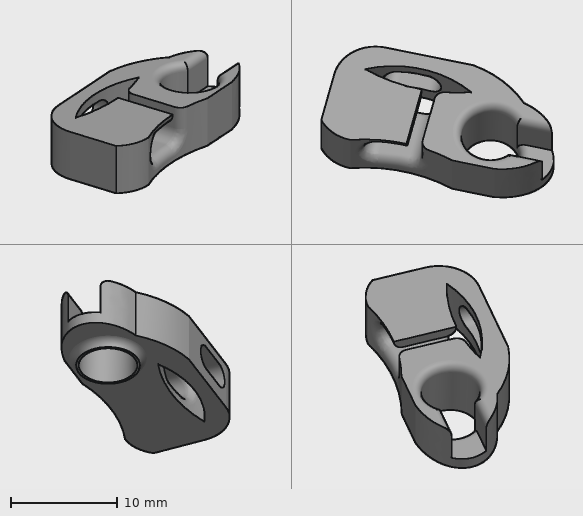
import cadquery as cq
import math


left_x = -6.86
right_x = 3.9
bottom_y = -15.79
ring_tip_y = 6.0
body_height = 5.0

corner_radius = 4.0
right_corner_center_y = -12.65
shoulder_start = (left_x, -3.3)
shoulder_middle = (-5.8, -0.25)
shoulder_end = (-3.83, 2.35)
ring_center_x = -0.1
ring_half_width = 4.1

waist_half_width = 3.1
waist_radius = 15.5
waist_y = -7.69

arm_inner_x = -5.32
arm_inner_radius = 10.55
arm_inner_y = -8.1

hole_diameter = 5.5
entry_half_width = 1.69
entry_floor_z = 1.22
edge_round = 0.8

collar_height = 0.83
collar_tip_radius = 3.0
collar_root_radius = 3.65
collar_bend_radius = 3.16
collar_bend_depth = 0.32

slot_length = 5.5
slot_height = 2.5
slot_center_y = -8.74
slot_center_z = 2.75
slot_end_y = slot_center_y + slot_length / 2
notch_width = 1.4
slot_mouth_round = 0.95

overrun = 1.0


def upright_cylinder(x, y, radius):
    return cq.Workplane("XY").center(x, y).circle(radius).extrude(body_height)


def make_body():
    corner_center_x = right_x - corner_radius
    drop = right_corner_center_y - bottom_y
    corner_end_angle = math.asin(drop / corner_radius)
    corner_end_x = corner_center_x + corner_radius * math.cos(corner_end_angle)
    corner_middle = (
        corner_center_x + corner_radius * math.cos(corner_end_angle / 2),
        right_corner_center_y - corner_radius * math.sin(corner_end_angle / 2),
    )
    ring_reach = (right_x - ring_center_x) / ring_half_width
    ring_side_y = ring_tip_y * math.sqrt(1 - ring_reach ** 2)

    plate = (
        cq.Workplane("XY")
        .moveTo(right_x, ring_side_y)
        .lineTo(right_x, right_corner_center_y)
        .threePointArc(corner_middle, (corner_end_x, bottom_y))
        .lineTo(left_x + corner_radius, bottom_y)
        .radiusArc((left_x, bottom_y + corner_radius), corner_radius)
        .lineTo(*shoulder_start)
        .threePointArc(shoulder_middle, shoulder_end)
        .close()
        .extrude(body_height)
    )
    ring = (
        cq.Workplane("XY")
        .center(ring_center_x, 0)
        .ellipse(ring_half_width, ring_tip_y)
        .extrude(body_height)
    )
    ring_limit = cq.Workplane("XY").box(
        2 * right_x, 2 * ring_tip_y, body_height, centered=(True, True, False)
    )
    return plate.union(ring.intersect(ring_limit))


def cut_waist(body):
    waist_center_x = waist_half_width + waist_radius
    right_hollow = upright_cylinder(waist_center_x, waist_y, waist_radius)
    block_side = upright_cylinder(-waist_center_x, waist_y, waist_radius)
    arm_side = upright_cylinder(arm_inner_x + arm_inner_radius, arm_inner_y, arm_inner_radius)
    return body.cut(right_hollow).cut(block_side.intersect(arm_side))


def cut_cross_slot(body):
    slot = (
        cq.Workplane("YZ", origin=(left_x - overrun, 0, 0))
        .center(slot_center_y, slot_center_z)
        .slot2D(slot_length, slot_height)
        .extrude(right_x - left_x + 2 * overrun)
    )
    notch_depth = body_height - slot_center_z
    notch_center = (0, slot_end_y - notch_width / 2, slot_center_z)
    notch = cq.Workplane("XY", origin=notch_center).box(
        2 * right_x, notch_width, notch_depth + overrun, centered=(True, True, False)
    )
    body = body.cut(slot).cut(notch)
    return round_slot_mouths(body)


def round_slot_mouths(body):
    margin = 0.05
    lip_y = slot_end_y - notch_width
    slot_top_z = slot_center_z + slot_height / 2
    mouth_edges = []
    for edge in body.edges().vals():
        box = edge.BoundingBox()
        on_block = waist_half_width - margin < abs(edge.Center().x) < right_x
        in_slot_length = box.ymin > slot_end_y - slot_length - margin and box.ymax < slot_end_y + margin
        above_slot_floor = box.zmin > slot_center_z - slot_height / 2 - margin
        on_top = box.zmin > slot_top_z + margin
        on_lip = abs(box.ymin - lip_y) < margin and box.ymax < lip_y + margin
        if on_block and in_slot_length and above_slot_floor and not on_top and not on_lip:
            mouth_edges.append(edge)
    return body.newObject(mouth_edges).fillet(slot_mouth_round)


def make_collar():
    hole_radius = hole_diameter / 2
    return (
        cq.Workplane("XZ")
        .moveTo(hole_radius, 0)
        .lineTo(hole_radius, -collar_height)
        .lineTo(collar_tip_radius, -collar_height)
        .threePointArc((collar_bend_radius, -collar_bend_depth), (collar_root_radius, 0))
        .close()
        .revolve(360, (0, 0, 0), (0, 1, 0))
    )


def cut_ring(body):
    hole = upright_cylinder(0, 0, hole_diameter / 2)
    entry = cq.Workplane("XY", origin=(0, 0, entry_floor_z)).box(
        2 * entry_half_width, ring_tip_y + overrun, body_height, centered=(True, False, False)
    )
    body = body.cut(hole).cut(entry)
    body = ring_edges(body, body_height).fillet(edge_round)
    floor_edges = ring_edges(body, entry_floor_z)
    return floor_edges.filter(lambda edge: edge.geomType() == "CIRCLE").fillet(edge_round)


def ring_edges(body, level):
    tolerance = 0.01
    reach = hole_diameter / 2 + tolerance
    return body.edges(
        cq.selectors.BoxSelector(
            (-reach, -reach, level - tolerance), (reach, ring_tip_y, level + tolerance)
        )
    )


result = cut_ring(cut_cross_slot(cut_waist(make_body()))).union(make_collar())